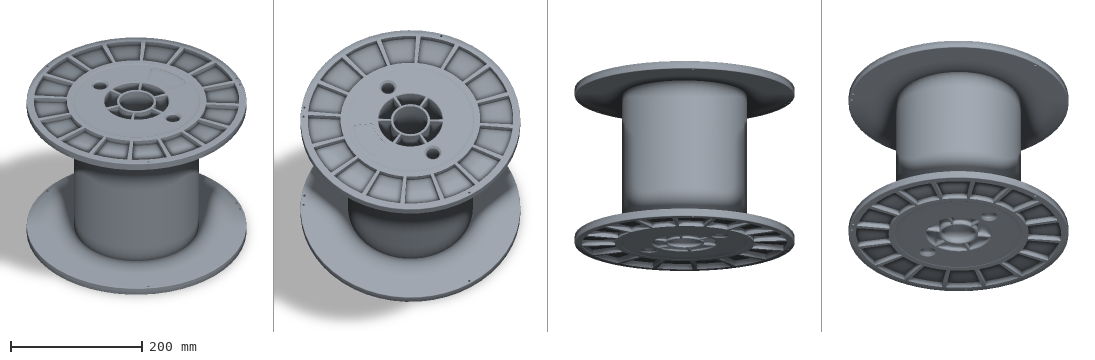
import cadquery as cq
import math

flange_radius = 167.5
spool_height = 244.0
flange_thickness = 12.0
flange_edge_fillet = 1.0
drum_radius = 95.0

opening_radius = 49.0
hub_outer_radius = 30.0
hub_bore_radius = 26.0
spoke_count = 6
spoke_half_angle = 3.0
centre_edge_chamfer = 1.0

pocket_count = 16
pocket_inner_radius = 106.4
pocket_outer_radius = 156.5
pocket_half_angle = 10.0
pocket_depth = 8.5

sunken_floor_radius = 96.3
sunken_rim_radius = 97.5
sunken_depth = 0.4

drive_hole_offset = 70.0
drive_hole_radius = 10.0
drive_hole_chamfer = 3.0

rim_hole_circle_radius = 163.0
rim_hole_radius = 1.8
rim_hole_angles = (52.7, 58.7, 184.0, 314.0)

label_inner_radius = 57.3
label_outer_radius = 90.0
label_half_angle = 22.5
label_depth = 0.4
label_upper_fillet = 5.0
label_lower_fillet = 3.0

top_z = spool_height / 2
centre_z = top_z - sunken_depth
cut_margin = 1.0


def polar(radius, angle):
    """Point at a radius and an angle in degrees from +X."""
    return (radius * math.cos(math.radians(angle)), radius * math.sin(math.radians(angle)))


def ring_sector(inner_radius, outer_radius, mid_angle, half_angle, z, height):
    """Sector of a ring with radial sides, extruded up from z."""
    start = mid_angle - half_angle
    end = mid_angle + half_angle
    return (
        cq.Workplane("XY")
        .workplane(offset=z)
        .moveTo(*polar(inner_radius, start))
        .lineTo(*polar(outer_radius, start))
        .threePointArc(polar(outer_radius, mid_angle), polar(outer_radius, end))
        .lineTo(*polar(inner_radius, end))
        .threePointArc(polar(inner_radius, mid_angle), polar(inner_radius, start))
        .close()
        .extrude(height)
    )


def make_body():
    """Solid drum with a flange at each end."""
    disc = cq.Workplane("XY").circle(flange_radius).extrude(flange_thickness)
    flange = disc.edges().fillet(flange_edge_fillet)
    drum = cq.Workplane("XY").workplane(offset=-top_z).circle(drum_radius).extrude(spool_height)
    lower_flange = flange.translate((0, 0, -top_z))
    upper_flange = flange.translate((0, 0, top_z - flange_thickness))
    return drum.union(lower_flange).union(upper_flange)


def cut_centre(body):
    """Hub bore and the openings left between the spokes, all through."""
    bore = cq.Workplane("XY").workplane(offset=-top_z).circle(hub_bore_radius).extrude(spool_height)
    body = body.cut(bore)
    spacing = 360 / spoke_count
    for index in range(spoke_count):
        mid_angle = (index + 0.5) * spacing
        half_angle = spacing / 2 - spoke_half_angle
        opening = ring_sector(
            hub_outer_radius, opening_radius, mid_angle, half_angle, -top_z, spool_height
        )
        body = body.cut(opening)
    box_half_width = opening_radius + cut_margin
    centre_box = cq.selectors.BoxSelector(
        (-box_half_width, -box_half_width, -spool_height),
        (box_half_width, box_half_width, spool_height),
        boundingbox=True,
    )
    return body.faces("|Z").edges(centre_box).chamfer(centre_edge_chamfer)


def cut_both_ends(body, cut):
    """Remove a shape at the top end and its mirror image at the bottom end."""
    return body.cut(cut).cut(cut.mirror("XY"))


def sink_centre(body):
    """Lower the centre of both outer faces inside a sloped wall."""
    sunken = (
        cq.Workplane("XZ")
        .moveTo(0, centre_z)
        .lineTo(sunken_floor_radius, centre_z)
        .lineTo(sunken_rim_radius, top_z)
        .lineTo(0, top_z)
        .close()
        .revolve(360, (0, 0, 0), (0, 1, 0))
    )
    return cut_both_ends(body, sunken)


def cut_pockets(body):
    """Ring of pockets in both outer faces, leaving tapered radial ribs."""
    for index in range(pocket_count):
        pocket = ring_sector(
            pocket_inner_radius,
            pocket_outer_radius,
            index * 360 / pocket_count,
            pocket_half_angle,
            top_z - pocket_depth,
            pocket_depth,
        )
        body = cut_both_ends(body, pocket)
    return body


def cut_drive_holes(body):
    """Through holes on the X axis, chamfered where they meet the sunken faces."""
    mouth_radius = drive_hole_radius + drive_hole_chamfer
    upper_half = (
        cq.Workplane("XZ")
        .lineTo(drive_hole_radius, 0)
        .lineTo(drive_hole_radius, centre_z - drive_hole_chamfer)
        .lineTo(mouth_radius, centre_z)
        .lineTo(0, centre_z)
        .close()
        .revolve(360, (0, 0, 0), (0, 1, 0))
    )
    for side in (-1, 1):
        body = cut_both_ends(body, upper_half.translate((side * drive_hole_offset, 0, 0)))
    return body


def cut_rim_holes(body):
    """Small holes through both flanges."""
    points = [polar(rim_hole_circle_radius, angle) for angle in rim_hole_angles]
    pins = cq.Workplane("XY").workplane(offset=-top_z).pushPoints(points).circle(rim_hole_radius)
    return body.cut(pins.extrude(spool_height))


def cut_label_recess(body):
    """Round-cornered ring sector sunk into the upper face beside the opening."""
    recess = ring_sector(
        label_inner_radius,
        label_outer_radius,
        90,
        label_half_angle,
        centre_z - label_depth,
        label_depth,
    )
    recess = recess.edges("|Z").edges("<X or >X").fillet(label_upper_fillet)
    recess = recess.edges("|Z").edges("<Y").fillet(label_lower_fillet)
    return body.cut(recess)


result = make_body()
result = sink_centre(result)
result = cut_centre(result)
result = cut_pockets(result)
result = cut_drive_holes(result)
result = cut_rim_holes(result)
result = cut_label_recess(result)